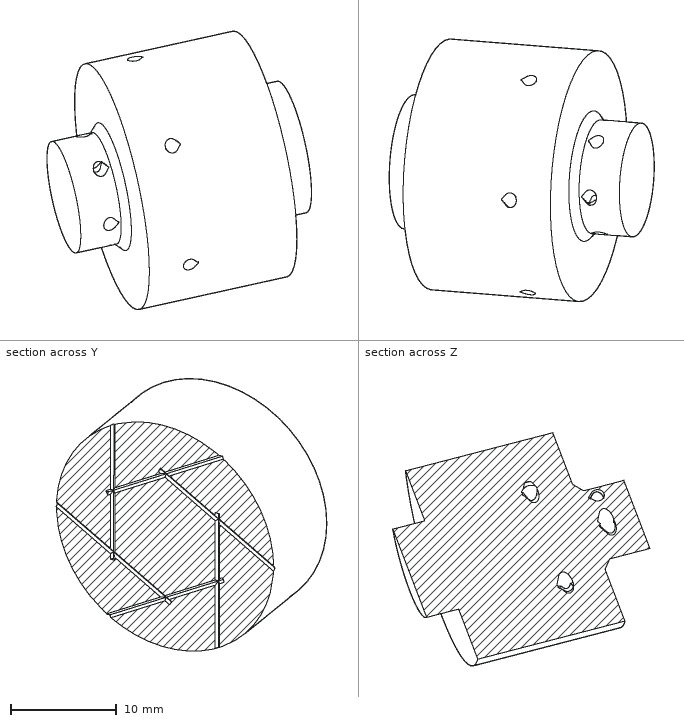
import cadquery as cq
import math

body_diameter = 23.8
body_length = 14.62
rear_boss_diameter = 12.76
rear_boss_length = 3.17
neck_diameter = 10.8
neck_length = 4.0
cone_length = 0.76
cone_base_diameter = 12.38

holes_per_ring = 6
hole_radius = 0.62
body_hole_y = 4.0
body_hole_angle = 58.8
body_hole_offset = 5.75
body_hole_depth = 14.45
neck_hole_y = -1.85
neck_hole_angle = 6.6
neck_hole_offset = 3.17
neck_hole_depth = 6.3


def make_body():
    """Revolve the stepped profile about the Y axis."""
    neck_start = -cone_length
    front_end = neck_start - neck_length
    rear_end = body_length + rear_boss_length
    profile = [
        (0, front_end),
        (neck_diameter / 2, front_end),
        (neck_diameter / 2, neck_start),
        (cone_base_diameter / 2, 0),
        (body_diameter / 2, 0),
        (body_diameter / 2, body_length),
        (rear_boss_diameter / 2, body_length),
        (rear_boss_diameter / 2, rear_end),
        (0, rear_end),
    ]
    return cq.Workplane("XY").polyline(profile).close().revolve(360, (0, 0, 0), (0, 1, 0))


def teardrop_ring(surface_radius, y, mouth_angle, offset, depth):
    """Blind teardrop cutters whose axes pass the Y axis at the given offset."""
    shoulder = hole_radius / math.sqrt(2)
    tip = hole_radius * math.sqrt(2)
    slant = math.degrees(math.asin(offset / surface_radius))
    mouth_height = math.sqrt(surface_radius**2 - offset**2)
    overshoot = 2 * hole_radius
    cutter = (
        cq.Workplane("XY", origin=(-offset, y, mouth_height - depth))
        .moveTo(shoulder, shoulder)
        .threePointArc((0, -hole_radius), (-shoulder, shoulder))
        .lineTo(0, tip)
        .close()
        .extrude(depth + overshoot)
    )
    ring = cq.Workplane("XY")
    for index in range(holes_per_ring):
        turn = mouth_angle + index * 360 / holes_per_ring - 90 - slant
        ring = ring.add(cutter.rotate((0, 0, 0), (0, 1, 0), -turn))
    return ring.combine()


body_holes = teardrop_ring(
    body_diameter / 2, body_hole_y, body_hole_angle, body_hole_offset, body_hole_depth
)
neck_holes = teardrop_ring(
    neck_diameter / 2, neck_hole_y, neck_hole_angle, neck_hole_offset, neck_hole_depth
)
result = make_body().cut(body_holes).cut(neck_holes)